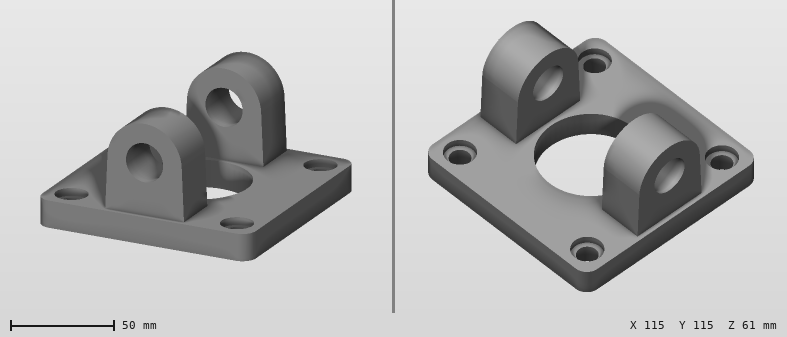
import cadquery as cq
import math

plate_side = 115.0
plate_thickness = 14.0
corner_radius = 7.25
center_bore_diameter = 55.0

bolt_circle_diameter = 126.0
bolt_pitch = bolt_circle_diameter / math.sqrt(2)
bolt_hole_diameter = 11.0
counterbore_diameter = 16.5
counterbore_depth = 4.0

lug_radius = 20.0
flank_taper = math.radians(2.5)
lug_outer_span = 110.0
lug_gap = 60.0
pin_diameter = 20.0
overall_height = 61.0

lug_thickness = (lug_outer_span - lug_gap) / 2
pin_height = overall_height - lug_radius


def make_plate():
    """Square plate standing on Z = 0, with rounded corners, bore and bolt holes."""
    return (
        cq.Workplane("XY")
        .box(plate_side, plate_side, plate_thickness, centered=(True, True, False))
        .edges("|Z")
        .fillet(corner_radius)
        .faces(">Z")
        .workplane()
        .hole(center_bore_diameter)
        .faces(">Z")
        .workplane()
        .rect(bolt_pitch, bolt_pitch, forConstruction=True)
        .vertices()
        .cboreHole(bolt_hole_diameter, counterbore_diameter, counterbore_depth)
    )


def make_lug(outer_face_y):
    """Lug with flanks tangent to its round top, running from outer_face_y toward +Y."""
    pin_rise = pin_height - plate_thickness
    half_base = (lug_radius + pin_rise * math.sin(flank_taper)) / math.cos(flank_taper)
    tangent_x = lug_radius * math.cos(flank_taper)
    tangent_z = pin_height + lug_radius * math.sin(flank_taper)

    return (
        cq.Workplane("XZ", origin=(0, outer_face_y, 0))
        .moveTo(-half_base, plate_thickness)
        .lineTo(half_base, plate_thickness)
        .lineTo(tangent_x, tangent_z)
        .threePointArc((0, overall_height), (-tangent_x, tangent_z))
        .close()
        .extrude(-lug_thickness)
        .cut(
            cq.Workplane("XZ", origin=(0, outer_face_y, 0))
            .center(0, pin_height)
            .circle(pin_diameter / 2)
            .extrude(-lug_thickness)
        )
    )


front_lug = make_lug(-lug_outer_span / 2)
back_lug = make_lug(lug_gap / 2)
result = make_plate().union(front_lug).union(back_lug)